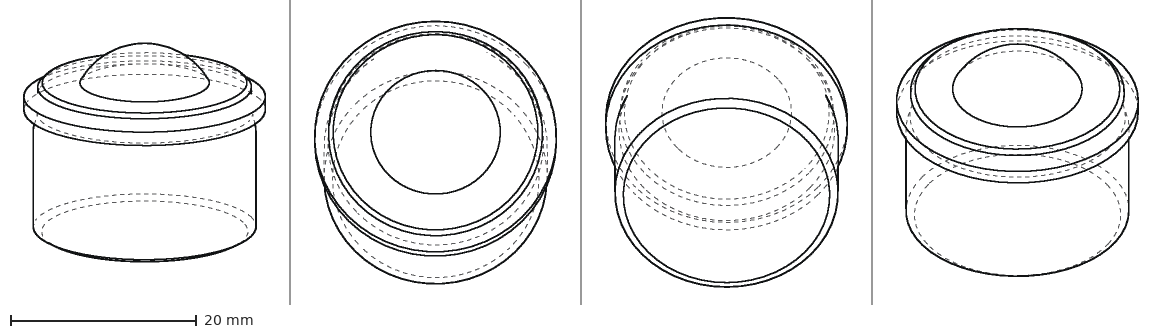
import cadquery as cq
import math

total_height = 20.8
flange_radius = 26.0 / 2
body_radius = 24.0 / 2
neck_radius = 23.2 / 2
collar_radius = 23.0 / 2
ball_radius = 7.98

body_top = 11.45
flange_bottom = 13.68
flange_thickness = 1.5
flange_top = flange_bottom + flange_thickness
collar_top = 16.72

bottom_chamfer_height = 0.52
bottom_chamfer_width = bottom_chamfer_height * math.tan(math.radians(60))
collar_chamfer = 0.5
fillet_radius = 0.5
taper_angle = math.radians(15)

neck_bottom = body_top + (body_radius - neck_radius) / math.tan(taper_angle)
diagonal = math.sqrt(0.5)


def fillet_middle(wall_radius, flange_face, direction):
    """Midpoint of the concave fillet between a wall and a flange face.

    direction is +1 for the upper face and -1 for the lower face.
    """
    offset = fillet_radius * (1 - diagonal)
    return wall_radius + offset, flange_face + direction * offset


ball_center = total_height - ball_radius
ball_rim_radius = math.sqrt(ball_radius**2 - (collar_top - ball_center) ** 2)
ball_mid_angle = math.asin(ball_rim_radius / ball_radius) / 2
ball_middle = (
    ball_radius * math.sin(ball_mid_angle),
    ball_center + ball_radius * math.cos(ball_mid_angle),
)

half_section = (
    cq.Workplane("XZ")
    .moveTo(0, 0)
    .lineTo(body_radius - bottom_chamfer_width, 0)
    .lineTo(body_radius, bottom_chamfer_height)
    .lineTo(body_radius, body_top)
    .lineTo(neck_radius, neck_bottom)
    .lineTo(neck_radius, flange_bottom - fillet_radius)
    .threePointArc(
        fillet_middle(neck_radius, flange_bottom, -1),
        (neck_radius + fillet_radius, flange_bottom),
    )
    .lineTo(flange_radius, flange_bottom)
    .lineTo(flange_radius, flange_top)
    .lineTo(collar_radius + fillet_radius, flange_top)
    .threePointArc(
        fillet_middle(collar_radius, flange_top, 1),
        (collar_radius, flange_top + fillet_radius),
    )
    .lineTo(collar_radius, collar_top - collar_chamfer)
    .lineTo(collar_radius - collar_chamfer, collar_top)
    .lineTo(ball_rim_radius, collar_top)
    .threePointArc(ball_middle, (0, total_height))
    .close()
)

result = half_section.revolve(360, (0, 0, 0), (0, 1, 0))